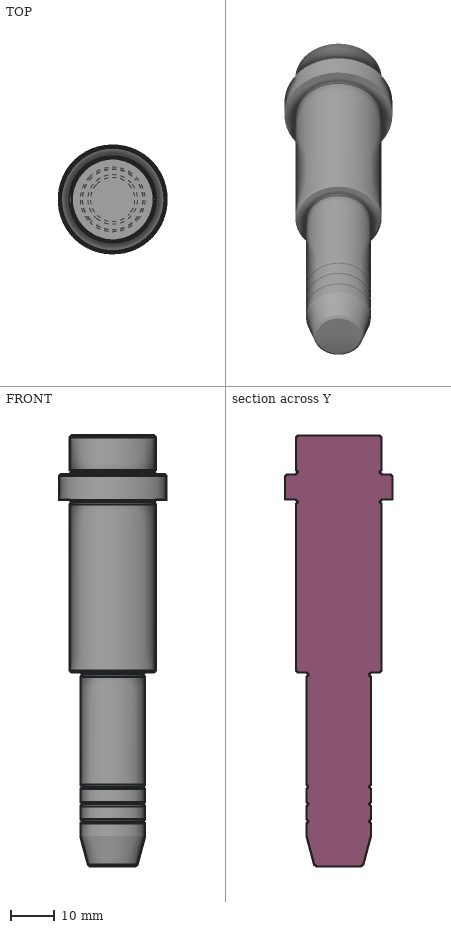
import cadquery as cq
import math

total_height = 100.0
collar_top = 91.0
collar_bottom = 85.0
sleeve_bottom = 45.0
taper_top = 7.0

body_diameter = 20.0
collar_diameter = 25.0
pin_diameter = 15.0

edge_chamfer = 0.5
taper_angle = 15.0
relief_width = 1.0
relief_depth = 0.5
groove_width = 1.0
groove_depth = 0.4
groove_count = 3
groove_pitch = 4.0
first_groove_bottom = 10.0


def cylinder(diameter, bottom, top):
    """Solid cylinder on the Z axis between two heights."""
    return cq.Workplane("XY").workplane(offset=bottom).circle(diameter / 2).extrude(top - bottom)


def cut_groove(body, diameter, bottom, width, depth):
    """Cut a ring groove with a V section into a cylinder."""
    radius = diameter / 2
    section = (
        cq.Workplane("XZ")
        .moveTo(radius, bottom)
        .lineTo(radius - depth, bottom + width / 2)
        .lineTo(radius, bottom + width)
        .close()
    )
    return body.cut(section.revolve(360, (0, 0, 0), (0, 1, 0)))


taper_drop = taper_top * math.tan(math.radians(taper_angle))
tip_diameter = pin_diameter - 2 * taper_drop
tip = (
    cq.Workplane("XY")
    .circle(tip_diameter / 2)
    .workplane(offset=taper_top)
    .circle(pin_diameter / 2)
    .loft(ruled=True)
    .faces("<Z")
    .chamfer(edge_chamfer)
)
pin = cylinder(pin_diameter, taper_top, sleeve_bottom).union(tip)

for index in range(groove_count):
    groove_bottom = first_groove_bottom + index * groove_pitch
    pin = cut_groove(pin, pin_diameter, groove_bottom, groove_width, groove_depth)
pin = cut_groove(pin, pin_diameter, sleeve_bottom - relief_width, relief_width, relief_depth)

sleeve = cylinder(body_diameter, sleeve_bottom, collar_bottom).faces("<Z").chamfer(edge_chamfer)
sleeve = cut_groove(sleeve, body_diameter, collar_bottom - relief_width, relief_width, relief_depth)

collar = cylinder(collar_diameter, collar_bottom, collar_top).faces(">Z").chamfer(edge_chamfer)

head = cylinder(body_diameter, collar_top, total_height).faces(">Z").chamfer(edge_chamfer)
head = cut_groove(head, body_diameter, collar_top, relief_width, relief_depth)

result = pin.union(sleeve).union(collar).union(head)